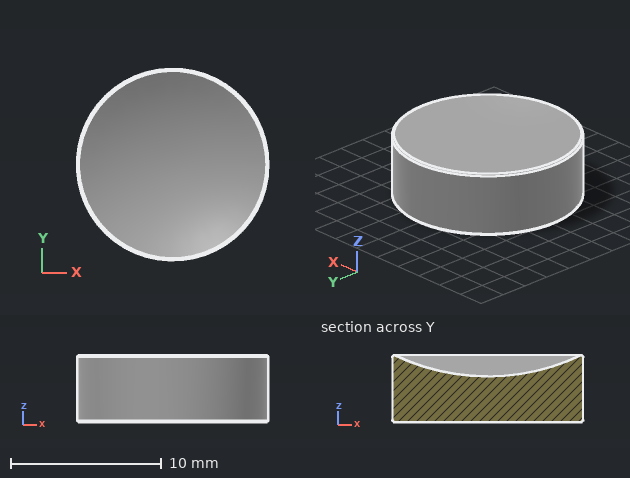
import cadquery as cq

diameter = 12.7
height = 4.48
bevel = 0.14
hollow_depth = 1.42

rim_radius = diameter / 2 - bevel
sphere_radius = (rim_radius**2 + hollow_depth**2) / (2 * hollow_depth)
sphere_center_z = height - hollow_depth + sphere_radius

disc = cq.Workplane("XY").circle(diameter / 2).extrude(height).edges("%CIRCLE").chamfer(bevel)

hollow = cq.Workplane("XY").sphere(sphere_radius).translate((0, 0, sphere_center_z))

result = disc.cut(hollow)